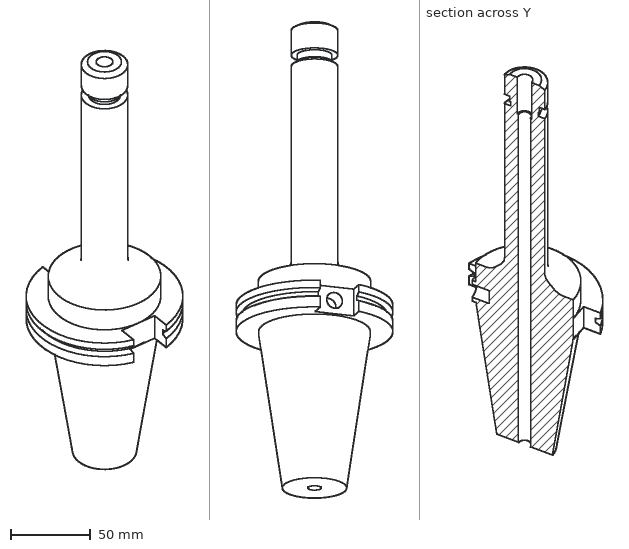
import cadquery as cq
import math

total_height = 304.8
taper_length = 101.5
flange_bottom = 103.3
flange_top = 121.0
collar_top = 136.5

taper_radius = 35.0
taper_slope = 7 / 24
taper_end_radius = taper_radius - taper_length * taper_slope / 2

flange_diameter = 98.5
flange_radius = flange_diameter / 2
groove_bottom = 110.3
groove_top = 116.0
groove_depth = 3.7
groove_flank_height = 1.5
groove_radius = flange_radius - groove_depth

collar_radius = 35.5
shaft_radius = 14.5
flare_foot_radius = 28.3
flare_blend_radius = 10.0

shaft_top = 279.0
neck_radius = 11.0
neck_root_radius = 10.0
neck_root_height = 2.7
nose_bottom = 286.2
nose_face_radius = 10.7
nose_chamfer_height = 2.0

bore_diameter = 8.5
nose_bore_diameter = 10.5
nose_bore_depth = 30.5

slot_width = 25.5
left_slot_floor = 37.8
right_slot_floor = 35.5

slot_hole_diameter = 10.5
slot_hole_depth = 12.2
slot_hole_height = (flange_bottom + flange_top) / 2


def make_body():
    """Revolve the half profile, with a 45 degree flare blended by two arcs."""
    diagonal = math.sqrt(0.5)
    tangent_run = flare_blend_radius * diagonal
    tangent_rise = flare_blend_radius - tangent_run
    middle_run = flare_blend_radius * math.sin(math.pi / 8)
    middle_rise = flare_blend_radius * (1 - math.cos(math.pi / 8))
    flare_top = collar_top + flare_foot_radius - shaft_radius

    profile = (
        cq.Workplane("XZ")
        .lineTo(taper_end_radius, 0)
        .lineTo(taper_radius, taper_length)
        .lineTo(taper_radius, flange_bottom)
        .lineTo(flange_radius, flange_bottom)
        .lineTo(flange_radius, groove_bottom)
        .lineTo(groove_radius, groove_bottom + groove_flank_height)
        .lineTo(groove_radius, groove_top - groove_flank_height)
        .lineTo(flange_radius, groove_top)
        .lineTo(flange_radius, flange_top)
        .lineTo(collar_radius, flange_top)
        .lineTo(collar_radius, collar_top)
        .lineTo(flare_foot_radius, collar_top)
        .threePointArc(
            (flare_foot_radius - middle_run, collar_top + middle_rise),
            (flare_foot_radius - tangent_run, collar_top + tangent_rise),
        )
        .lineTo(shaft_radius + tangent_rise, flare_top - tangent_run)
        .threePointArc(
            (shaft_radius + middle_rise, flare_top - middle_run),
            (shaft_radius, flare_top),
        )
        .lineTo(shaft_radius, shaft_top)
        .lineTo(neck_root_radius, shaft_top)
        .lineTo(neck_root_radius, shaft_top + neck_root_height)
        .lineTo(neck_radius, shaft_top + neck_root_height)
        .lineTo(neck_radius, nose_bottom)
        .lineTo(shaft_radius, nose_bottom)
        .lineTo(shaft_radius, total_height - nose_chamfer_height)
        .lineTo(nose_face_radius, total_height)
        .lineTo(0, total_height)
        .close()
    )
    return profile.revolve(360, (0, 0, 0), (0, 1, 0))


def make_slot(side, floor_distance):
    """Box that cuts a drive slot through the flange; side is -1 or 1 along X."""
    return (
        cq.Workplane("XY")
        .box(flange_radius, slot_width, flange_top - flange_bottom)
        .translate((side * (floor_distance + flange_radius / 2), 0, (flange_bottom + flange_top) / 2))
    )


def make_slot_hole():
    """Cylinder running inward from the left slot floor along X."""
    return (
        cq.Workplane("YZ", origin=(-left_slot_floor, 0, slot_hole_height))
        .circle(slot_hole_diameter / 2)
        .extrude(slot_hole_depth)
    )


def make_bore():
    """Stepped axial bore open at both ends."""
    through_hole = cq.Workplane("XY").circle(bore_diameter / 2).extrude(total_height)
    nose_hole = (
        cq.Workplane("XY", origin=(0, 0, total_height - nose_bore_depth))
        .circle(nose_bore_diameter / 2)
        .extrude(nose_bore_depth)
    )
    return through_hole.union(nose_hole)


result = (
    make_body()
    .cut(make_bore())
    .cut(make_slot(-1, left_slot_floor))
    .cut(make_slot(1, right_slot_floor))
    .cut(make_slot_hole())
)